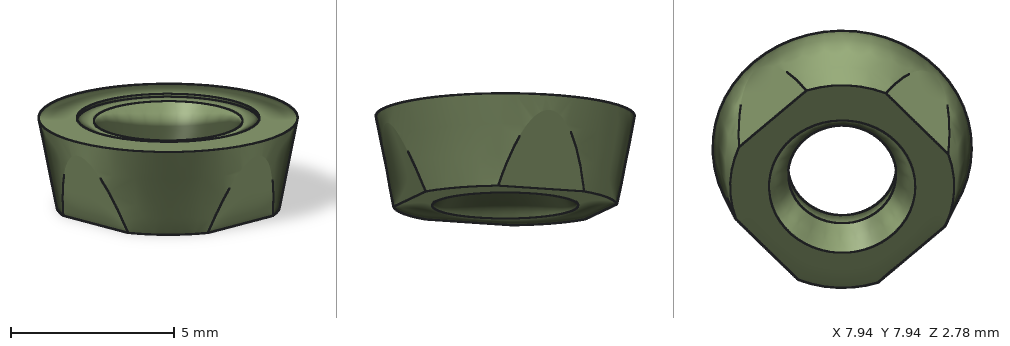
import cadquery as cq
import math

top_radius = 3.97
height = 2.78
clearance_angle = 11.0
bottom_radius = top_radius - height * math.tan(math.radians(clearance_angle))

recess_radius = 2.795
recess_depth = 0.095
seat_radius = 2.28
neck_radius = 1.65
neck_depth = 1.32
relief_depth = 1.905
relief_radius = 2.24

flat_count = 4
flat_distance = 3.13
flat_tilt = 18.0
flat_turn = -3.0
cutter_size = 2 * top_radius


def make_body():
    """Solid cone frustum, widest at the top face."""
    profile = [(0, 0), (bottom_radius, 0), (top_radius, height), (0, height)]
    return cq.Workplane("XZ").polyline(profile).close().revolve(360, (0, 0), (0, 1))


def make_hole():
    """Recess, conical screw seat, straight neck and flared bottom relief."""
    recess_floor = height - recess_depth
    neck_top = height - neck_depth
    return (
        cq.Workplane("XZ")
        .moveTo(0, 0)
        .lineTo(relief_radius, 0)
        .lineTo(neck_radius, height - relief_depth)
        .lineTo(neck_radius, neck_top)
        .lineTo(seat_radius, recess_floor)
        .lineTo(recess_radius, recess_floor)
        .lineTo(recess_radius, height)
        .lineTo(0, height)
        .close()
        .revolve(360, (0, 0), (0, 1))
    )


def make_flat_cutter(angle):
    """Block whose inner face is the tilted flat facing the given direction."""
    return (
        cq.Workplane("XY")
        .box(cutter_size, cutter_size, cutter_size, centered=(False, True, True))
        .rotate((0, 0, 0), (0, 1, 0), flat_tilt)
        .translate((flat_distance, 0, 0))
        .rotate((0, 0, 0), (0, 0, 1), angle)
    )


result = make_body().cut(make_hole())
for index in range(flat_count):
    result = result.cut(make_flat_cutter(flat_turn + index * 360 / flat_count))